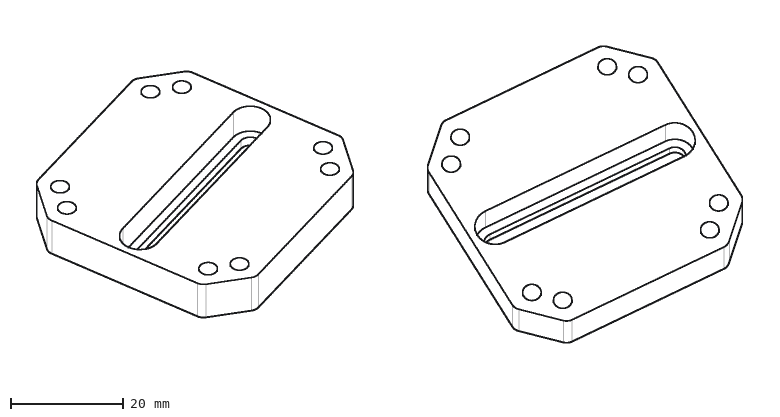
import cadquery as cq

side = 46.5
thickness = 8.0
corner_cut = 7.0
corner_radius = 2.0

hole_diameter = 3.3
hole_near = 14.93
hole_far = 18.95

recess_width = 7.2
recess_length = 43.7
recess_depth = 6.0
opening_width = 4.0
opening_length = 40.5


def make_plate():
    """Octagonal plate standing on Z = 0, with rounded vertical edges."""
    blank = cq.Workplane("XY").rect(side, side).extrude(thickness)
    return blank.edges("|Z").chamfer(corner_cut).edges("|Z").fillet(corner_radius)


def make_holes():
    """Two through holes at every corner, mirrored about the diagonal."""
    centres = []
    for x_sign in (-1, 1):
        for y_sign in (-1, 1):
            centres.append((x_sign * hole_near, y_sign * hole_far))
            centres.append((x_sign * hole_far, y_sign * hole_near))
    return cq.Workplane("XY").pushPoints(centres).circle(hole_diameter / 2).extrude(thickness)


def make_recess():
    """Round-ended pocket sunk from the top face."""
    floor = cq.Workplane("XY").workplane(offset=thickness - recess_depth)
    return floor.slot2D(recess_length, recess_width, 90).extrude(recess_depth)


def make_opening():
    """Narrow round-ended opening through the recess floor."""
    return cq.Workplane("XY").slot2D(opening_length, opening_width, 90).extrude(thickness)


result = make_plate().cut(make_holes()).cut(make_recess()).cut(make_opening())